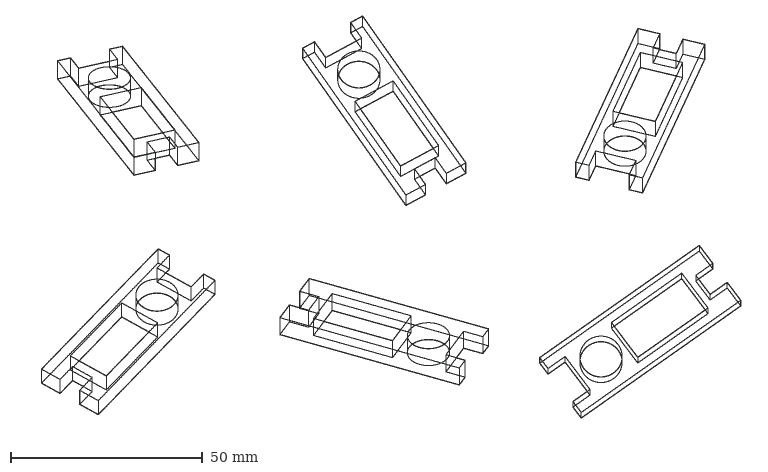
import cadquery as cq

length = 51.5
width = 18.4
thickness = 5.6

notch_depth = 5.5
left_notch_width = 11.0
right_notch_width = 6.35

hole_diameter = left_notch_width
hole_x = 13.1

window_start_x = 20.7
window_length = 22.65
window_width = 11.65


def through_block(start_x, block_length, block_width):
    """Full-thickness block starting at start_x and centred across the width."""
    return cq.Workplane("XY").box(
        block_length, block_width, thickness, centered=(False, True, False)
    ).translate((start_x, 0, 0))


plate = through_block(0, length, width)
left_notch = through_block(0, notch_depth, left_notch_width)
right_notch = through_block(length - notch_depth, notch_depth, right_notch_width)
window = through_block(window_start_x, window_length, window_width)
hole = cq.Workplane("XY").center(hole_x, 0).circle(hole_diameter / 2).extrude(thickness)

result = plate.cut(left_notch).cut(right_notch).cut(window).cut(hole)